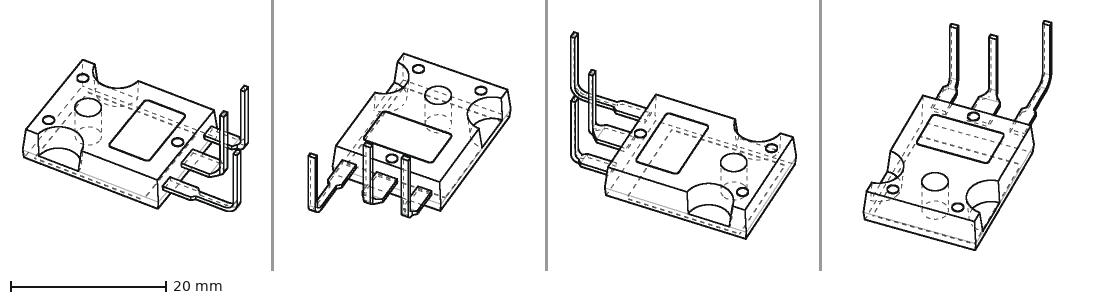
import cadquery as cq
import math

body_length = 20.0
body_width = 15.6
slug_proud = 0.1
parting_z = 1.5
body_top_z = 5.0
draft_angle = 5.0

slug_start_x = 1.3
slug_length = 16.0
slug_width = 14.1

mount_x = 5.3
mount_hole_diameter = 3.4
notch_floor_radius = 2.9
notch_top_radius = 3.2

recess_depth = 0.1
label_start_x = 11.0
label_length = 6.0
label_width = 10.0
label_corner_radius = 0.5
ejector_diameter = 1.5
ejector_mount_end_x = 2.0
ejector_lead_end_x = 18.5
ejector_offset_y = 4.5

lead_pitch = 5.45
lead_bottom_z = 2.5
lead_tip_z = 13.1
lead_thickness = 0.6
lead_embed = 1.0
shoulder_end_x = 24.0
side_shoulder_width = 2.0
centre_shoulder_width = 3.0
pin_width = 1.0
near_bend_x = 25.6
near_inner_radius = 0.95
near_outer_radius = 1.0
far_bend_x = 30.6
far_inner_radius = 1.3
far_outer_radius = far_inner_radius + lead_thickness


def drafted_block(height):
    """Body half rising from the parting plane at z = 0."""
    return (
        cq.Workplane("XY")
        .center(body_length / 2, 0)
        .rect(body_length, body_width)
        .extrude(height, taper=draft_angle)
    )


def make_body():
    upper = drafted_block(body_top_z - parting_z)
    lower = drafted_block(parting_z - slug_proud).mirror("XY")
    slug = (
        cq.Workplane("XY")
        .box(slug_length, slug_width, parting_z, centered=(False, True, False))
        .translate((slug_start_x, 0, 0))
    )
    return upper.union(lower).translate((0, 0, parting_z)).union(slug)


def mounting_hole():
    return cq.Workplane("XY").center(mount_x, 0).circle(mount_hole_diameter / 2).extrude(body_top_z)


def clip_notch(side):
    """Cone frustum centred on the body edge, narrowing down to the parting plane."""
    cone = cq.Solid.makeCone(notch_floor_radius, notch_top_radius, body_top_z - parting_z)
    return cone.translate(cq.Vector(mount_x, side * body_width / 2, parting_z))


def top_recesses():
    floor = cq.Workplane("XY", origin=(0, 0, body_top_z - recess_depth))
    label = (
        floor.center(label_start_x + label_length / 2, 0)
        .rect(label_length, label_width)
        .extrude(recess_depth)
        .edges("|Z")
        .fillet(label_corner_radius)
    )
    ejector_centres = [
        (ejector_mount_end_x, -ejector_offset_y),
        (ejector_mount_end_x, ejector_offset_y),
        (ejector_lead_end_x, 0),
    ]
    ejectors = floor.pushPoints(ejector_centres).circle(ejector_diameter / 2).extrude(recess_depth)
    return label.union(ejectors)


def make_lead(y, shoulder_width, bend_x, inner_radius, outer_radius):
    """Lead running out along X and bent upright, its outer face at bend_x."""
    start_x = body_length - lead_embed
    inner_x = bend_x - lead_thickness
    lead_top_z = lead_bottom_z + lead_thickness
    diagonal = math.sqrt(0.5)
    outer_centre_x = bend_x - outer_radius
    outer_centre_z = lead_bottom_z + outer_radius
    inner_centre_x = inner_x - inner_radius
    inner_centre_z = lead_top_z + inner_radius
    side_profile = (
        cq.Workplane("XZ")
        .moveTo(start_x, lead_bottom_z)
        .lineTo(outer_centre_x, lead_bottom_z)
        .threePointArc(
            (outer_centre_x + outer_radius * diagonal, outer_centre_z - outer_radius * diagonal),
            (bend_x, outer_centre_z),
        )
        .lineTo(bend_x, lead_tip_z)
        .lineTo(inner_x, lead_tip_z)
        .lineTo(inner_x, inner_centre_z)
        .threePointArc(
            (inner_centre_x + inner_radius * diagonal, inner_centre_z - inner_radius * diagonal),
            (inner_centre_x, lead_top_z),
        )
        .lineTo(start_x, lead_top_z)
        .close()
        .extrude(shoulder_width / 2, both=True)
    )
    half_shoulder = shoulder_width / 2
    half_pin = pin_width / 2
    taper_end_x = shoulder_end_x + half_shoulder - half_pin
    plan = (
        cq.Workplane("XY")
        .polyline(
            [
                (start_x, -half_shoulder),
                (shoulder_end_x, -half_shoulder),
                (taper_end_x, -half_pin),
                (bend_x, -half_pin),
                (bend_x, half_pin),
                (taper_end_x, half_pin),
                (shoulder_end_x, half_shoulder),
                (start_x, half_shoulder),
            ]
        )
        .close()
        .extrude(lead_tip_z)
    )
    return side_profile.intersect(plan).translate((0, y, 0))


def make_near_lead(y, shoulder_width):
    return make_lead(
        y,
        shoulder_width,
        near_bend_x,
        near_inner_radius,
        near_outer_radius,
    )


def make_far_lead(y, shoulder_width):
    return make_lead(
        y,
        shoulder_width,
        far_bend_x,
        far_inner_radius,
        far_outer_radius,
    )


body = make_body().cut(mounting_hole()).cut(top_recesses())
for side in (-1, 1):
    body = body.cut(cq.Workplane(clip_notch(side)))

result = (
    body.union(make_far_lead(-lead_pitch, side_shoulder_width))
    .union(make_near_lead(0, centre_shoulder_width))
    .union(make_near_lead(lead_pitch, side_shoulder_width))
)